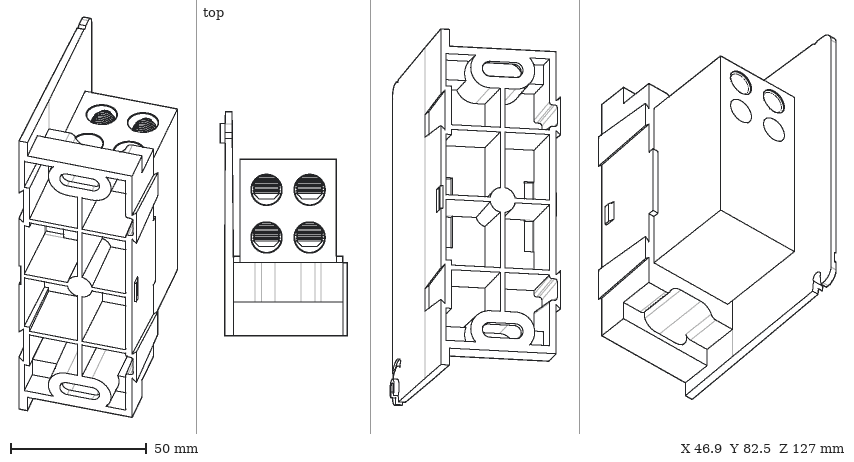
import cadquery as cq
import math


BASE_HALF_HEIGHT = 57.2
FOOT_DEPTH = 12.5
BODY_HALF_HEIGHT = 49.2
BODY_TOP = 26.9
BODY_RIGHT = 20.2

WALL_LEFT = -23.4
WALL_RIGHT = -20.1
WALL_HALF_HEIGHT = 63.5
WALL_TOP = 82.5
WALL_END_DRAFT = 2.0
WALL_TIP_LEFT = -23.1
WALL_TIP_RIGHT = -20.6
WALL_CORNER_RADIUS = 4.7
NOTCH_Y = 73.7
NOTCH_RADIUS = 1.3
NOTCH_RISE = 0.6

HINGE_Y = 74.5
HINGE_Z = -55.5
HINGE_BOSS_DIAMETER = 7.2
HINGE_BOSS_LEFT = -25.0
HINGE_BORE_RADIUS = 2.0
HINGE_NECK_HALF_WIDTH = 1.8
HINGE_MOUTH_HALF_WIDTH = 2.7
ARC_OUTER_RADIUS = 22.2 / 2
ARC_INNER_RADIUS = 8.5
ARC_DEPTH = 0.8
ARC_END_ANGLE = 56.0
ARC_RIDGE_FOOT_Y = 80.9
ARC_RIDGE_CREST_Y = 81.7

DRAFT = 1.0
CAVITY_LEFT = -21.3
CAVITY_RIGHT = 17.7
CAVITY_HALF_HEIGHT = 54.2
CAVITY_FLOOR = 24.1
FOOT_FLOOR = 9.5
FOOT_STEP_Z = 46.9
RIB_WIDTH = 1.8
CROSS_RIB_Z = 26.5
POST_DIAMETER = 9.5
PAD_POCKET_X = 13.6
PAD_POCKET_HALF_HEIGHT = 13.2
PAD_POCKET_FLOOR = 26.0

SLOT_Z = 49.4
SLOT_HALF_STRAIGHT = 4.8
SLOT_RADIUS = 2.8
SLOT_SEAT_Y = 2.8
SEAT_RADIUS = 5.3
SEAT_MOUTH_FILLET = 2.4
TOWER_RADIUS = 7.2

DOVETAIL_Z = 32.9
DOVETAIL_DEPTH = 1.7
DOVETAIL_FLARE = 1.5
DOVETAIL_NARROWING = 1.8
GROOVE_HALF_MOUTH = 6.0
KEY_HALF_BASE = 5.7
GROOVE_BACKING_X = -19.3
GROOVE_BACKING_HALF_HEIGHT = 9.1
KEY_POCKET_RIGHT = 20.6
KEY_POCKET_HALF_HEIGHT = 4.1
KEY_POCKET_FLOOR_HALF_HEIGHT = 2.7
KEY_POCKET_ROUND = 1.0

SNAP_HALF_HEIGHT = 4.3
SNAP_DEPTH = 0.8
SNAP_NEAR_Y = 2.8
SNAP_CREST_Y = 4.8
SNAP_FAR_Y = 7.0
LEAD_IN_Y = 1.7

BLOCK_HALF_WIDTH = 17.8
BLOCK_HALF_HEIGHT = 38.1
BLOCK_TOP = 65.0
PAD_TOP = 29.3
PAD_HALF_HEIGHT = 15.2
WIRE_BORE_DIAMETER = 11.0
WIRE_BORE_CHAMFER = 0.3
WIRE_X = 15.9 / 2
DRILL_CONE_HEIGHT = 3.3

THREAD_DIAMETER = 10.0
THREAD_ROOT_DIAMETER = 8.6
THREAD_PITCH = 1.0
THREAD_CREST = 0.1
THREAD_COUNT = 12
SCREW_TIP_RADIUS = 2.8
SCREW_TIP_LENGTH = 1.9
SCREW_TIP_BELOW_WIRE = 3.3

WIRE_ROWS = [
    (53.7, 30.5, 24.1, False),
    (36.2, 16.5, 10.2, True),
]


def box(x_range, y_range, z_range):
    """Box between two limits along each axis."""
    sizes = [high - low for low, high in (x_range, y_range, z_range)]
    return cq.Workplane("XY").box(*sizes, centered=False).translate((x_range[0], y_range[0], z_range[0]))


def drafted_box(x_range, z_range, y_end):
    """Cavity cell that starts at the mounting face and narrows towards its floor."""
    return (
        cq.Workplane("ZX")
        .center(sum(z_range) / 2, sum(x_range) / 2)
        .rect(z_range[1] - z_range[0], x_range[1] - x_range[0])
        .extrude(y_end, taper=DRAFT)
    )


def slot_prism(radius, y_start, y_end, z, taper=0):
    """Round-ended prism along Y, long in X, centred on a mounting slot."""
    return (
        cq.Workplane("ZX", origin=(0, y_start, z))
        .slot2D(2 * (SLOT_HALF_STRAIGHT + radius), 2 * radius, 90)
        .extrude(y_end - y_start, taper=taper)
    )


def wall_end_z(y):
    return WALL_HALF_HEIGHT - y * math.tan(math.radians(WALL_END_DRAFT))


def barrier_wall():
    """Side wall with drafted ends, thinning above the body."""
    section = (
        cq.Workplane("XY", origin=(0, 0, -WALL_HALF_HEIGHT))
        .polyline([
            (WALL_LEFT, 0),
            (WALL_RIGHT, 0),
            (WALL_RIGHT, BODY_TOP),
            (WALL_TIP_RIGHT, WALL_TOP),
            (WALL_TIP_LEFT, WALL_TOP),
            (WALL_LEFT, BODY_TOP),
        ])
        .close()
        .extrude(2 * WALL_HALF_HEIGHT)
    )
    outline = (
        cq.Workplane("YZ", origin=(WALL_LEFT, 0, 0))
        .polyline([
            (0, -WALL_HALF_HEIGHT),
            (WALL_TOP, -wall_end_z(WALL_TOP)),
            (WALL_TOP, wall_end_z(WALL_TOP)),
            (0, WALL_HALF_HEIGHT),
        ])
        .close()
        .extrude(WALL_RIGHT - WALL_LEFT)
        .edges("|X and >Y")
        .fillet(WALL_CORNER_RADIUS)
    )
    notch = (
        cq.Workplane("YZ", origin=(WALL_LEFT, 0, 0))
        .center(NOTCH_Y, wall_end_z(NOTCH_Y) + NOTCH_RISE)
        .circle(NOTCH_RADIUS)
        .extrude(WALL_RIGHT - WALL_LEFT)
    )
    return section.intersect(outline).cut(notch)


def add_hinge(wall):
    """Slotted boss at the lower corner, with an arc-shaped groove around it, closed by a ridge at the tip."""
    hinge = cq.Workplane("YZ", origin=(HINGE_BOSS_LEFT, HINGE_Y, HINGE_Z))
    through = WALL_RIGHT - HINGE_BOSS_LEFT
    boss = hinge.circle(HINGE_BOSS_DIAMETER / 2).extrude(WALL_TIP_LEFT - HINGE_BOSS_LEFT)
    bore = hinge.circle(HINGE_BORE_RADIUS).extrude(through)
    mouth_z = -WALL_HALF_HEIGHT - HINGE_Z
    mouth = (
        hinge.polyline([
            (-HINGE_NECK_HALF_WIDTH, 0),
            (HINGE_NECK_HALF_WIDTH, 0),
            (HINGE_MOUTH_HALF_WIDTH, mouth_z),
            (-HINGE_MOUTH_HALF_WIDTH, mouth_z),
        ])
        .close()
        .extrude(through)
    )
    groove_floor = WALL_TIP_LEFT + ARC_DEPTH
    groove = (
        hinge.circle(ARC_OUTER_RADIUS)
        .circle(ARC_INNER_RADIUS)
        .extrude(groove_floor - HINGE_BOSS_LEFT)
    )
    end_angle = math.radians(180 - ARC_END_ANGLE)
    end_reach = 2 * ARC_OUTER_RADIUS
    groove_span = (
        hinge.polyline([
            (0, 0),
            (WALL_TOP - HINGE_Y, 0),
            (WALL_TOP - HINGE_Y, end_reach * math.sin(end_angle)),
            (end_reach * math.cos(end_angle), end_reach * math.sin(end_angle)),
        ])
        .close()
        .extrude(through)
    )
    ridge = (
        cq.Workplane("XY", origin=(0, 0, HINGE_Z))
        .polyline([
            (groove_floor, ARC_RIDGE_FOOT_Y),
            (WALL_TIP_LEFT, ARC_RIDGE_CREST_Y),
            (groove_floor, WALL_TOP),
        ])
        .close()
        .extrude(ARC_OUTER_RADIUS)
    )
    groove = groove.intersect(groove_span).cut(ridge)
    return wall.cut(groove).union(boss).cut(bore).cut(mouth)


def seat_mouth(z_sign):
    """Flared opening of a slot's screw seat through the end of the body above the foot."""
    reach_z = SLOT_Z - BODY_HALF_HEIGHT + SEAT_MOUTH_FILLET
    flare = math.acos(reach_z / (SEAT_RADIUS + SEAT_MOUTH_FILLET))
    fillet_x = SLOT_HALF_STRAIGHT + (SEAT_RADIUS + SEAT_MOUTH_FILLET) * math.sin(flare)
    fillet_z = BODY_HALF_HEIGHT - SEAT_MOUTH_FILLET

    def on_seat(angle):
        return (SLOT_HALF_STRAIGHT + SEAT_RADIUS * math.sin(angle), SLOT_Z - SEAT_RADIUS * math.cos(angle))

    def on_fillet(angle):
        turn = SEAT_MOUTH_FILLET
        return (fillet_x - turn * math.sin(angle), fillet_z + turn * math.cos(angle))

    def left(point):
        return (-point[0], point[1])

    opening = (
        cq.Workplane("XZ", origin=(0, BODY_TOP, 0))
        .moveTo(*left(on_seat(0)))
        .lineTo(*on_seat(0))
        .threePointArc(on_seat(flare / 2), on_seat(flare))
        .threePointArc(on_fillet(flare / 2), on_fillet(0))
        .lineTo(*left(on_fillet(0)))
        .threePointArc(left(on_fillet(flare / 2)), left(on_seat(flare)))
        .threePointArc(left(on_seat(flare / 2)), left(on_seat(0)))
        .close()
        .extrude(BODY_TOP - FOOT_DEPTH)
    )
    return opening if z_sign > 0 else opening.mirror("XY")


def dovetail(x_narrow, half_narrow, z):
    """Dovetail along Y that widens towards +X and narrows towards the body top."""
    def section(y, narrowing):
        narrow = half_narrow - narrowing
        wide = narrow + DOVETAIL_FLARE
        return cq.Wire.makePolygon(
            [
                cq.Vector(x_narrow, y, z - narrow),
                cq.Vector(x_narrow + DOVETAIL_DEPTH, y, z - wide),
                cq.Vector(x_narrow + DOVETAIL_DEPTH, y, z + wide),
                cq.Vector(x_narrow, y, z + narrow),
            ],
            close=True,
        )

    sections = [section(0, 0), section(BODY_TOP, DOVETAIL_NARROWING)]
    return cq.Workplane(cq.Solid.makeLoft(sections, True))


def draft_inset(y):
    """How far a drafted cavity side has moved in at a depth."""
    return y * math.tan(math.radians(DRAFT))


def key_pocket(z):
    """Hollow behind a dovetail key, rounded at its mouth and back, narrowing towards the cavity floor."""
    turn = KEY_POCKET_ROUND
    bulge = turn * math.sqrt(0.5)

    def section(y, half):
        mouth = CAVITY_RIGHT - draft_inset(y)
        back = KEY_POCKET_RIGHT - draft_inset(y)
        front = mouth - RIB_WIDTH
        flank = half + turn
        return (
            cq.Workplane("ZX", origin=(0, y, z))
            .moveTo(-flank, front)
            .lineTo(-flank, mouth)
            .threePointArc((bulge - flank, mouth + turn - bulge), (-half, mouth + turn))
            .lineTo(-half, back - turn)
            .threePointArc((turn - half - bulge, back - turn + bulge), (turn - half, back))
            .lineTo(half - turn, back)
            .threePointArc((half - turn + bulge, back - turn + bulge), (half, back - turn))
            .lineTo(half, mouth + turn)
            .threePointArc((flank - bulge, mouth + turn - bulge), (flank, mouth))
            .lineTo(flank, front)
            .close()
            .val()
        )

    sections = [section(0, KEY_POCKET_HALF_HEIGHT), section(CAVITY_FLOOR, KEY_POCKET_FLOOR_HALF_HEIGHT)]
    return cq.Workplane(cq.Solid.makeLoft(sections, True))


def snap(x_base):
    """Snap wedge along Z, reaching SNAP_DEPTH towards +X from x_base."""
    x_crest = x_base + SNAP_DEPTH
    return (
        cq.Workplane("XY", origin=(0, 0, -SNAP_HALF_HEIGHT))
        .polyline([
            (x_base, SNAP_NEAR_Y),
            (x_crest, SNAP_NEAR_Y),
            (x_crest, SNAP_CREST_Y),
            (x_base, SNAP_FAR_Y),
        ])
        .close()
        .extrude(2 * SNAP_HALF_HEIGHT)
    )


def snap_lead_in():
    """Chamfer at the mounting face that leads a neighbour's snap into its recess."""
    return (
        cq.Workplane("XY", origin=(0, 0, -SNAP_HALF_HEIGHT))
        .polyline([(WALL_LEFT, 0), (WALL_LEFT + SNAP_DEPTH, 0), (WALL_LEFT, LEAD_IN_Y)])
        .close()
        .extrude(2 * SNAP_HALF_HEIGHT)
    )


def cavities():
    """All the hollows under the body: four cells a side, shallow ends, without post and slot towers."""
    half_rib = RIB_WIDTH / 2
    center_cell_z = (half_rib, CROSS_RIB_Z - half_rib)
    end_cell_z = (CROSS_RIB_Z + half_rib, FOOT_STEP_Z)
    foot_cell_z = (CROSS_RIB_Z + half_rib, CAVITY_HALF_HEIGHT)

    hollow = cq.Workplane("XY")
    for x_range in ((CAVITY_LEFT, -half_rib), (half_rib, CAVITY_RIGHT)):
        for z_range, floor in (
            (center_cell_z, CAVITY_FLOOR),
            (end_cell_z, CAVITY_FLOOR),
            (foot_cell_z, FOOT_FLOOR),
        ):
            cell = drafted_box(x_range, z_range, floor)
            hollow = hollow.add(cell).add(cell.mirror("XY"))
    hollow = hollow.combine()

    hollow = hollow.cut(cq.Workplane("ZX").circle(POST_DIAMETER / 2).extrude(CAVITY_FLOOR))
    for z_sign in (1, -1):
        hollow = hollow.cut(slot_prism(TOWER_RADIUS, 0, CAVITY_FLOOR, z_sign * SLOT_Z, taper=-DRAFT))
        backing_z = z_sign * DOVETAIL_Z
        hollow = hollow.cut(box(
            (CAVITY_LEFT, GROOVE_BACKING_X),
            (0, CAVITY_FLOOR),
            (backing_z - GROOVE_BACKING_HALF_HEIGHT, backing_z + GROOVE_BACKING_HALF_HEIGHT),
        ))
    return hollow


def pad_pockets():
    """Hollows in the cavity floor under the two locating pads, one on each side of the middle rib."""
    inset = draft_inset(CAVITY_FLOOR)
    rib_side = RIB_WIDTH / 2 + inset
    pockets = cq.Workplane("XY")
    for x_range in ((CAVITY_LEFT + inset, -PAD_POCKET_X), (PAD_POCKET_X, CAVITY_RIGHT - inset)):
        pocket = box(x_range, (CAVITY_FLOOR, PAD_POCKET_FLOOR), (rib_side, PAD_POCKET_HALF_HEIGHT))
        pockets = pockets.add(pocket).add(pocket.mirror("XY"))
    return pockets.combine()


def make_housing():
    body = add_hinge(barrier_wall())
    body = body.union(box((WALL_RIGHT, BODY_RIGHT), (0, FOOT_DEPTH), (-BASE_HALF_HEIGHT, BASE_HALF_HEIGHT)))
    body = body.union(box((WALL_RIGHT, BODY_RIGHT), (0, BODY_TOP), (-BODY_HALF_HEIGHT, BODY_HALF_HEIGHT)))

    for x_range in ((WALL_RIGHT, -BLOCK_HALF_WIDTH), (BLOCK_HALF_WIDTH, BODY_RIGHT)):
        body = body.union(box(x_range, (BODY_TOP, PAD_TOP), (-PAD_HALF_HEIGHT, PAD_HALF_HEIGHT)))

    body = body.cut(cavities()).cut(pad_pockets())

    for z_sign in (1, -1):
        body = body.cut(slot_prism(SLOT_RADIUS, 0, SLOT_SEAT_Y, z_sign * SLOT_Z))
        body = body.cut(slot_prism(SEAT_RADIUS, SLOT_SEAT_Y, BODY_TOP, z_sign * SLOT_Z))
        body = body.cut(seat_mouth(z_sign))
        body = body.cut(dovetail(WALL_LEFT, GROOVE_HALF_MOUTH, z_sign * DOVETAIL_Z))
        body = body.union(dovetail(BODY_RIGHT, KEY_HALF_BASE, z_sign * DOVETAIL_Z))
        body = body.cut(key_pocket(z_sign * DOVETAIL_Z))

    body = body.union(snap(BODY_RIGHT))
    return body.cut(snap(WALL_LEFT)).cut(snap_lead_in())


def make_screw(x, y_tip, z):
    """Set screw along Y with a conical tip and ring-shaped thread grooves."""
    crest = THREAD_DIAMETER / 2
    root = THREAD_ROOT_DIAMETER / 2
    profile = [
        (0, 0),
        (SCREW_TIP_RADIUS, 0),
        (SCREW_TIP_RADIUS + SCREW_TIP_LENGTH, SCREW_TIP_LENGTH),
        (crest, SCREW_TIP_LENGTH),
    ]
    for turn in range(THREAD_COUNT):
        y = SCREW_TIP_LENGTH + turn * THREAD_PITCH
        profile += [
            (crest, y + THREAD_CREST),
            (root, y + (THREAD_CREST + THREAD_PITCH) / 2),
            (crest, y + THREAD_PITCH),
        ]
    profile.append((0, profile[-1][1]))
    screw = cq.Workplane("XY").polyline(profile).close().revolve(360, (0, 0, 0), (0, 1, 0))
    return screw.translate((x, y_tip, z))


def make_block():
    """Terminal block with wire bores from the +Z end and a screw hole from above into each bore."""
    block = box(
        (-BLOCK_HALF_WIDTH, BLOCK_HALF_WIDTH),
        (BODY_TOP, BLOCK_TOP),
        (-BLOCK_HALF_HEIGHT, BLOCK_HALF_HEIGHT),
    )
    bore_radius = WIRE_BORE_DIAMETER / 2
    for y, screw_z, floor_z, drilled in WIRE_ROWS:
        for x in (-WIRE_X, WIRE_X):
            bore = cq.Workplane("XY", origin=(x, y, floor_z)).circle(bore_radius)
            block = block.cut(bore.extrude(BLOCK_HALF_HEIGHT - floor_z))
            rim = cq.Solid.makeCone(
                bore_radius,
                bore_radius + WIRE_BORE_CHAMFER,
                WIRE_BORE_CHAMFER,
                cq.Vector(x, y, BLOCK_HALF_HEIGHT - WIRE_BORE_CHAMFER),
            )
            block = block.cut(cq.Workplane(rim))
            if drilled:
                cone = cq.Solid.makeCone(
                    bore_radius, 0, DRILL_CONE_HEIGHT, cq.Vector(x, y, floor_z), cq.Vector(0, 0, -1)
                )
                block = block.cut(cq.Workplane(cone))
            screw_hole = cq.Workplane("ZX", origin=(x, y, screw_z)).circle(THREAD_DIAMETER / 2)
            block = block.cut(screw_hole.extrude(BLOCK_TOP - y))
    return block


housing = make_housing()
block = make_block()
screws = [
    make_screw(x, y - SCREW_TIP_BELOW_WIRE, screw_z)
    for y, screw_z, _, _ in WIRE_ROWS
    for x in (-WIRE_X, WIRE_X)
]

result = cq.Compound.makeCompound([housing.val(), block.val(), *[screw.val() for screw in screws]])